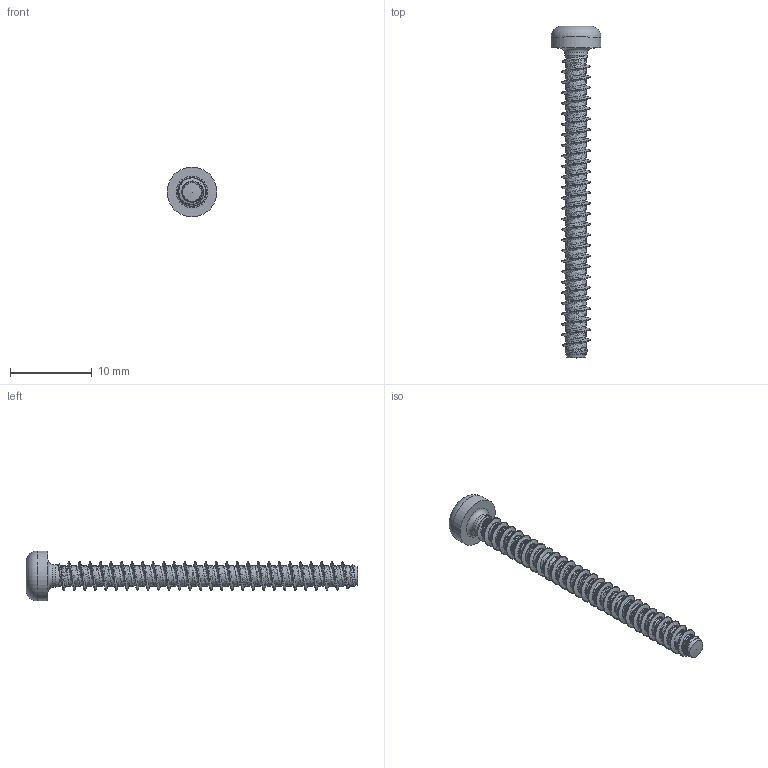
import cadquery as cq
import math


total_length = 40.69
shank_length = 38.0
head_height = total_length - shank_length

head_radius = 6.1 / 2
head_edge_radius = 1.35

neck_radius = 2.8 / 2
neck_fillet = 0.55
neck_end = 0.9
neck_taper_end = 1.3

core_radius = 2.5 / 2
tip_radius = 2.25 / 2
tip_taper_length = 0.35
tip_cone_height = 0.08

thread_radius = 3.5 / 2
pitch = 1.29
crest_width = 0.06
base_width = 0.36
thread_phase = 0.295

relief_depth = 0.07
relief_reach = 0.5

run_in_start = 0.6
run_in_end = 1.9
run_in_radius = 1.18
run_out_length = 1.9

diagonal = math.sqrt(0.5)
flank_steps = 4
envelope_margin = 0.1
buried_depth = 0.1


def start_half_section():
    """Workplane whose local x is the radius (along +Z) and whose local y runs along Y."""
    return cq.Workplane(cq.Plane(origin=(0, 0, 0), xDir=(0, 0, 1), normal=(-1, 0, 0)))


def revolve_about_y(section):
    """Close a half section and turn it about the Y axis."""
    return section.close().revolve(360, (0, 0, 0), (0, 1, 0))


def make_head_and_neck():
    """Head with a rounded top edge, and the filleted neck that ends inside the core."""
    edge_center_x = head_radius - head_edge_radius
    edge_center_y = head_height - head_edge_radius
    edge_middle = (
        edge_center_x + head_edge_radius * diagonal,
        edge_center_y + head_edge_radius * diagonal,
    )
    fillet_middle = (
        neck_radius + neck_fillet * (1 - diagonal),
        -neck_fillet * (1 - diagonal),
    )
    taper_slope = (neck_radius - core_radius) / (neck_taper_end - neck_end)
    buried_end = neck_taper_end + buried_depth / taper_slope
    return revolve_about_y(
        start_half_section()
        .moveTo(0, head_height)
        .lineTo(edge_center_x, head_height)
        .threePointArc(edge_middle, (head_radius, edge_center_y))
        .lineTo(head_radius, 0)
        .lineTo(neck_radius + neck_fillet, 0)
        .threePointArc(fillet_middle, (neck_radius, -neck_fillet))
        .lineTo(neck_radius, -neck_end)
        .lineTo(core_radius - buried_depth, -buried_end)
        .lineTo(0, -buried_end)
    )


def cross_section_point(radius, axial_offset):
    """Turn an axial offset from the crest (positive towards the head) into an angle."""
    angle = -2 * math.pi * axial_offset / pitch
    return cq.Vector(radius * math.cos(angle), radius * math.sin(angle))


def make_flank_edge(start, end):
    """Curve of the cross-section whose radius changes linearly with the axial offset."""
    fractions = [step / flank_steps for step in range(flank_steps + 1)]
    return cq.Edge.makeSpline([
        cross_section_point(
            start[0] + (end[0] - start[0]) * fraction,
            start[1] + (end[1] - start[1]) * fraction,
        )
        for fraction in fractions
    ])


def make_round_edge(radius, start_offset, end_offset):
    """Arc of the cross-section at a constant radius."""
    return cq.Edge.makeThreePointArc(
        cross_section_point(radius, start_offset),
        cross_section_point(radius, (start_offset + end_offset) / 2),
        cross_section_point(radius, end_offset),
    )


def make_threaded_rod():
    """Core, thread and relief as one cross-section twisted along the axis.

    The rod starts one pitch beyond the tip and ends level with the bearing face.
    """
    tip_side_root = (core_radius, -base_width / 2)
    tip_side_crest = (thread_radius, -crest_width / 2)
    head_side_crest = (thread_radius, crest_width / 2)
    relief_bottom = (core_radius - relief_depth, base_width / 2)
    relief_end = (core_radius, relief_reach)
    outline = cq.Wire.assembleEdges([
        make_flank_edge(tip_side_root, tip_side_crest),
        make_round_edge(thread_radius, -crest_width / 2, crest_width / 2),
        make_flank_edge(head_side_crest, relief_bottom),
        make_flank_edge(relief_bottom, relief_end),
        make_round_edge(core_radius, relief_reach, pitch - base_width / 2),
    ])
    rod_length = shank_length + pitch
    return (
        cq.Workplane(obj=outline)
        .toPending()
        .twistExtrude(rod_length, 360 * rod_length / pitch)
        .rotate((0, 0, 0), (0, 0, 1), 360 * thread_phase)
        .rotate((0, 0, 0), (1, 0, 0), -90)
        .translate((0, -shank_length - pitch, 0))
    )


def make_shank_envelope():
    """Turned body that tapers the thread at both ends and shapes the tip."""
    outer_radius = thread_radius + envelope_margin
    run_out_y = -shank_length + run_out_length
    tip_edge_y = -shank_length + tip_cone_height
    return revolve_about_y(
        start_half_section()
        .moveTo(0, -run_in_start)
        .lineTo(run_in_radius, -run_in_start)
        .lineTo(thread_radius, -run_in_end)
        .lineTo(outer_radius, -run_in_end - envelope_margin)
        .lineTo(outer_radius, run_out_y + envelope_margin)
        .lineTo(thread_radius, run_out_y)
        .lineTo(core_radius, tip_edge_y + tip_taper_length)
        .lineTo(tip_radius, tip_edge_y)
        .lineTo(0, -shank_length)
    )


shank = make_threaded_rod().intersect(make_shank_envelope(), clean=False)
result = make_head_and_neck().union(shank, clean=False).solids()